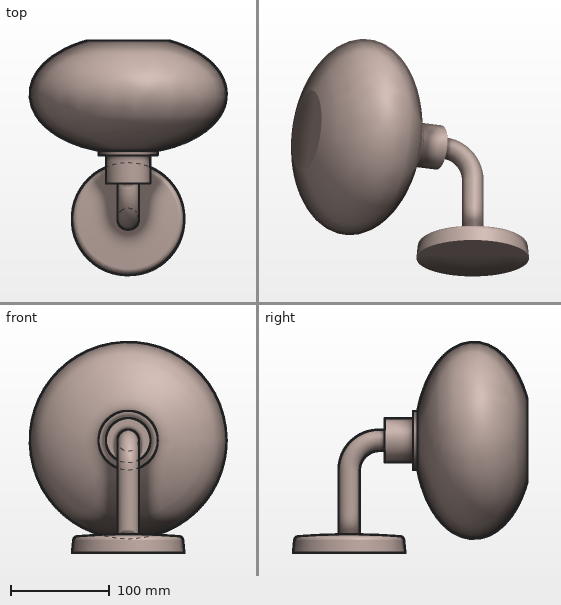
import cadquery as cq
import math


base_radius = 57.2
base_corner_radius = 55.5
base_corner_height = 16.7
base_crown_height = 19.0
base_edge_fillet = 4.8

tube_radius = 11.0
bend_radius = 30.2
axis_height = 114.0

socket_start = 36.0
socket_radius = 22.6
flange_start = 64.5
flange_radius = 30.0
turned_edge_fillet = 1.0

globe_radius = 100.0
globe_half_depth = 60.0
globe_end = 181.0
globe_flat_radius = 41.5


def half_depth_at(radius):
    """Distance of the globe surface from its equator plane at a given radius."""
    return globe_half_depth * math.sqrt(1 - (radius / globe_radius) ** 2)


globe_center = globe_end - half_depth_at(globe_flat_radius)


def disc_along_y(radius, start, end):
    """Cylinder on the lamp axis whose free edge, facing the tube, is rounded."""
    plane = cq.Plane(origin=(0, start, axis_height), xDir=(1, 0, 0), normal=(0, 1, 0))
    disc = cq.Workplane(plane).circle(radius).extrude(end - start)
    return disc.faces("<Y").edges().fillet(turned_edge_fillet)


def make_base():
    """Tapered disc with a shallow spherical crown and a rounded rim."""
    crown_drop = base_crown_height - base_corner_height
    sphere_radius = (base_corner_radius**2 + crown_drop**2) / (2 * crown_drop)
    mid_radius = base_corner_radius / 2
    mid_height = base_crown_height - sphere_radius + math.sqrt(sphere_radius**2 - mid_radius**2)
    base = (
        cq.Workplane("XZ")
        .lineTo(base_radius, 0)
        .lineTo(base_corner_radius, base_corner_height)
        .threePointArc((mid_radius, mid_height), (0, base_crown_height))
        .close()
        .revolve(360, (0, 0, 0), (0, 1, 0))
    )
    rim = base.edges("%CIRCLE").edges(cq.selectors.RadiusNthSelector(0))
    return rim.fillet(base_edge_fillet)


def make_tube():
    """Round bar rising from the base and bending a quarter turn into the socket."""
    bend_start = axis_height - bend_radius
    bend_chord = bend_radius * math.sqrt(0.5)
    path = (
        cq.Workplane("YZ")
        .lineTo(0, bend_start)
        .threePointArc((bend_radius - bend_chord, bend_start + bend_chord), (bend_radius, axis_height))
        .lineTo(flange_start, axis_height)
    )
    return cq.Workplane("XY").circle(tube_radius).sweep(path)


def make_globe():
    """Oblate ellipsoid about the lamp axis, cut flat at its far end."""
    profile = (
        cq.Workplane("XY")
        .moveTo(0, globe_center)
        .ellipseArc(globe_radius, globe_half_depth, -90, 90, startAtCurrent=False)
        .close()
    )
    globe = profile.revolve(360, (0, 0, 0), (0, 1, 0)).translate((0, 0, axis_height))
    keep = cq.Workplane("XY").box(3 * globe_radius, globe_end, 3 * globe_radius)
    return globe.intersect(keep.translate((0, globe_end / 2, axis_height)))


socket = disc_along_y(socket_radius, socket_start, globe_center)
flange = disc_along_y(flange_radius, flange_start, globe_center)

result = make_base().union(make_tube()).union(socket).union(flange).union(make_globe())